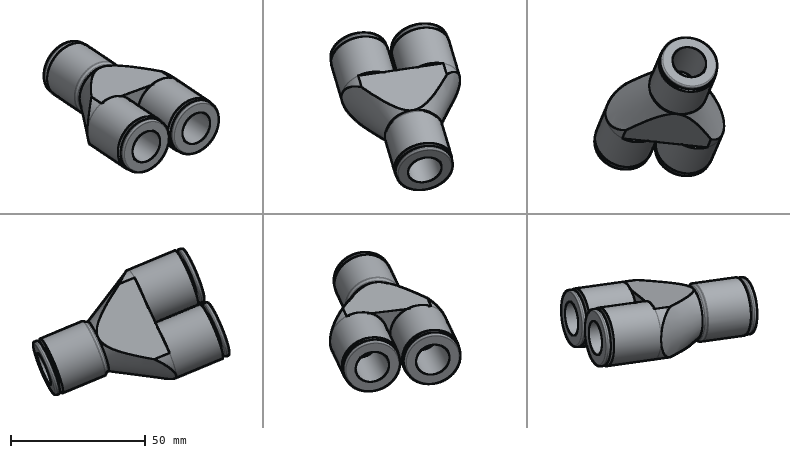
import cadquery as cq

total_length = 65.9
body_start = 2.95
cone_start = 22.0
outlet_start = 44.0

sleeve_radius = 11.04
outlet_offset = 11.57
bevel_start = 20.25
bevel_end = 21.55
bevel_outer_round = 0.4
bevel_inner_round = 1.25

flat_half_height = 10.0
outer_half_width = outlet_offset + sleeve_radius

collar_radius = 10.8
collar_thickness = 1.9
collar_outer_round = 0.65
collar_inner_round = 0.5
neck_radius = 7.0
bore_radius = 6.4
bore_depth = 18.45


def x_cylinder(radius, x_from, x_to):
    """Solid cylinder on the X axis between two stations."""
    return cq.Workplane("YZ", origin=(x_from, 0, 0)).circle(radius).extrude(x_to - x_from)


def collar(outer_x, inward):
    """Release collar with its neck on the X axis; inward is +1 or -1 along X."""
    disk = x_cylinder(collar_radius, outer_x, outer_x + inward * collar_thickness)
    outer_rim, inner_rim = ("<X", ">X") if inward > 0 else (">X", "<X")
    disk = disk.faces(outer_rim).edges().fillet(collar_outer_round)
    disk = disk.faces(inner_rim).edges().fillet(collar_inner_round)
    neck = x_cylinder(neck_radius, outer_x + inward * collar_thickness, outer_x + inward * body_start)
    return disk.union(neck)


def bore(outer_x, inward):
    """Blind tube socket on the X axis."""
    return x_cylinder(bore_radius, outer_x, outer_x + inward * bore_depth)


def inlet():
    """Single sleeve, bevelled down to the height of the body flats."""
    profile = (
        cq.Workplane("XY")
        .moveTo(body_start, 0)
        .lineTo(body_start, sleeve_radius)
        .lineTo(bevel_start, sleeve_radius)
        .lineTo(bevel_end, flat_half_height)
        .lineTo(cone_start, flat_half_height)
        .lineTo(cone_start, 0)
        .close()
    )
    sleeve = profile.revolve(360, (0, 0, 0), (1, 0, 0))
    sleeve = sleeve.faces("%CONE").edges(">X").fillet(bevel_inner_round)
    sleeve = sleeve.faces("%CONE").edges("<X").fillet(bevel_outer_round)
    return sleeve.union(collar(0, 1)).cut(bore(0, 1))


def outlet():
    """One outlet sleeve with its collar, on the X axis."""
    sleeve = x_cylinder(sleeve_radius, outlet_start, total_length - body_start)
    return sleeve.union(collar(total_length, -1)).cut(bore(total_length, -1))


def body():
    """Cone widening from the inlet, trimmed to the outlets' outline and flattened."""
    length = outlet_start - cone_start
    cone = cq.Workplane(
        cq.Solid.makeCone(
            flat_half_height, outer_half_width, length,
            cq.Vector(cone_start, 0, 0), cq.Vector(1, 0, 0),
        )
    )
    outline = (
        cq.Workplane("YZ", origin=(cone_start, 0, 0))
        .slot2D(2 * outer_half_width, 2 * sleeve_radius)
        .extrude(length)
    )
    flats = (
        cq.Workplane("YZ", origin=(cone_start, 0, 0))
        .rect(2 * outer_half_width, 2 * flat_half_height)
        .extrude(length)
    )
    return cone.intersect(outline).intersect(flats)


result = body().union(inlet())
for side in (-1, 1):
    result = result.union(outlet().translate((0, side * outlet_offset, 0)))